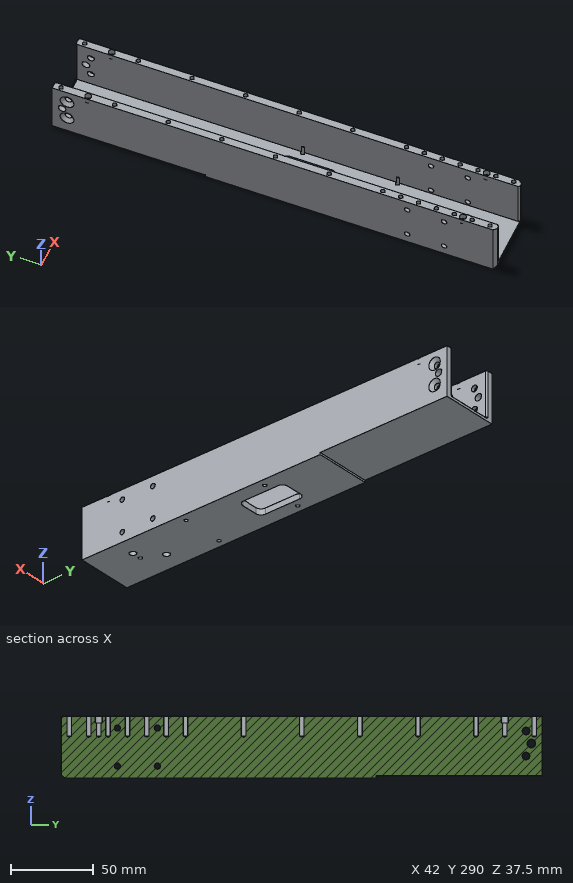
import cadquery as cq
import math

WIDTH = 42.0
LENGTH = 290.0
HEIGHT = 37.5
WALL = 5.0
FLOOR = 4.4

HALF_LENGTH = LENGTH / 2
BACK = HALF_LENGTH
FRONT = -HALF_LENGTH
TOP = HEIGHT / 2
BOTTOM = -HEIGHT / 2
INNER_WIDTH = WIDTH - 2 * WALL
WALL_CENTRE_X = (WIDTH - WALL) / 2
SIDES = (-1, 1)

RELIEF_LENGTH = 100.0
RELIEF_DEPTH = 1.5

OUTER_CHAMFER = 2.0
INNER_CHAMFER = 1.0

TAP_DIAMETER = 2.5
TAP_DEPTH = 12.0
DRILL_TIP_ANGLE = 118
TAP_END_MARGIN = 5.0
TAP_BAYS = 8
FINE_BAYS = 2
FINE_DIVISIONS = 3

COUNTERBORE_DIAMETER = 4.0
COUNTERBORE_DEPTH = 4.0
COUNTERBORE_END_MARGIN = 22.5

SCREW_DIAMETER = 4.4
SCREW_HEAD_DIAMETER = 9.0
SCREW_FROM_BACK = 10.0
SCREW_FROM_TOP = 9.0
SCREW_SPACING = 15.0
PIN_DIAMETER = 5.0
PIN_FROM_BACK = 6.7

SIDE_HOLE_DIAMETER = 3.5
SIDE_HOLE_FROM_FRONT = 34.0
SIDE_HOLE_FROM_TOP = 7.2
SIDE_HOLE_SPACING_Y = 24.0
SIDE_HOLE_SPACING_Z = 23.0

WINDOW_WIDTH = 20.0
WINDOW_LENGTH = 35.0
WINDOW_RADIUS = 4.0
WINDOW_Y = -11.0
EDGE_HOLE_DIAMETER = 2.5
EDGE_HOLE_X = 15.5
EDGE_HOLE_DEPTH = 9.0
EDGE_HOLE_FROM_FRONT = 79.5
EDGE_HOLE_SPACING = 62.0
MOUNT_DIAMETER = 4.5
MOUNT_X = 7.0
MOUNT_FROM_FRONT = 30.5
MOUNT_SPACING_Y = 14.8
PILOT_DIAMETER = 2.5


def box(x_size, y_min, y_max, z_min, z_max):
    """Box centred on X between the given Y and Z limits."""
    return (
        cq.Workplane("XY")
        .box(x_size, y_max - y_min, z_max - z_min, centered=(True, False, False))
        .translate((0, y_min, z_min))
    )


def channel():
    """U-shaped channel with chamfered ends and the relief under its back end."""
    body = box(WIDTH, FRONT, BACK, BOTTOM, TOP)
    front_face = body.faces("<Y")
    body = front_face.edges("<X or >X or <Z").chamfer(OUTER_CHAMFER)
    body = body.cut(box(INNER_WIDTH, FRONT, BACK, BOTTOM + FLOOR, TOP))
    relief = box(WIDTH, BACK - RELIEF_LENGTH, BACK, BOTTOM, BOTTOM + RELIEF_DEPTH)
    return body.cut(relief).cut(wall_bevels()).cut(floor_bevel())


def wall_bevels():
    """Triangular cutters for the inner vertical edges at both ends of the walls."""
    cutters = cq.Workplane("XY", origin=(0, 0, BOTTOM + FLOOR))
    for side in SIDES:
        for end in (-1, 1):
            corner_x = side * INNER_WIDTH / 2
            corner_y = end * HALF_LENGTH
            triangle = [
                (corner_x, corner_y),
                (corner_x + side * INNER_CHAMFER, corner_y),
                (corner_x, corner_y - end * INNER_CHAMFER),
            ]
            cutters = cutters.polyline(triangle).close()
    return cutters.extrude(TOP - BOTTOM - FLOOR)


def floor_bevel():
    """Triangular cutter for the upper edge at the back end of the floor."""
    floor_z = BOTTOM + FLOOR
    triangle = [(BACK, floor_z), (BACK, floor_z - INNER_CHAMFER), (BACK - INNER_CHAMFER, floor_z)]
    return cq.Workplane("YZ").polyline(triangle).close().extrude(INNER_WIDTH / 2, both=True)


def wall_top_points(y_positions):
    """Points on the centrelines of both wall tops."""
    return [(side * WALL_CENTRE_X, y) for side in SIDES for y in y_positions]


def threaded_holes(y_positions):
    """Blind vertical holes with conical drill tips in both wall tops."""
    radius = TAP_DIAMETER / 2
    tip_depth = radius / math.tan(math.radians(DRILL_TIP_ANGLE / 2))
    profile = [(0, 0), (radius, 0), (radius, -TAP_DEPTH), (0, -TAP_DEPTH - tip_depth)]
    drill = cq.Workplane("XZ").polyline(profile).close().revolve(360, (0, 0), (0, 1)).val()
    top_plane = cq.Workplane("XY", origin=(0, 0, TOP)).pushPoints(wall_top_points(y_positions))
    return top_plane.eachpoint(lambda place: drill.moved(place))


def counterbores(y_positions):
    """Flat-bottomed enlargements of the threaded holes at the given places."""
    top_plane = cq.Workplane("XY", origin=(0, 0, TOP)).pushPoints(wall_top_points(y_positions))
    return top_plane.circle(COUNTERBORE_DIAMETER / 2).extrude(-COUNTERBORE_DEPTH)


def tap_positions():
    """Even spacing from the back, with finer spacing near the front."""
    pitch = (LENGTH - 2 * TAP_END_MARGIN) / TAP_BAYS
    fine_pitch = pitch / FINE_DIVISIONS
    first_front = FRONT + TAP_END_MARGIN
    fine = [first_front + i * fine_pitch for i in range(FINE_BAYS * FINE_DIVISIONS)]
    coarse = [first_front + i * pitch for i in range(FINE_BAYS, TAP_BAYS + 1)]
    return fine + coarse


def cross_holes(points, diameter):
    """Holes along X through both walls at (y, z) points."""
    return cq.Workplane("YZ").pushPoints(points).circle(diameter / 2).extrude(WIDTH / 2, both=True)


def screw_points():
    y = BACK - SCREW_FROM_BACK
    upper_z = TOP - SCREW_FROM_TOP
    return [(y, upper_z), (y, upper_z - SCREW_SPACING)]


def countersinks():
    """Conical 90-degree screw seats on the outside of both walls."""
    head_radius = SCREW_HEAD_DIAMETER / 2
    hole_radius = SCREW_DIAMETER / 2
    depth = head_radius - hole_radius
    cones = cq.Workplane("XY")
    for side in SIDES:
        for y, z in screw_points():
            start = cq.Vector(side * WIDTH / 2, y, z)
            inward = cq.Vector(-side, 0, 0)
            cones = cones.add(cq.Solid.makeCone(head_radius, hole_radius, depth, start, inward))
    return cones.combine()


def side_hole_points():
    first_y = FRONT + SIDE_HOLE_FROM_FRONT
    upper_z = TOP - SIDE_HOLE_FROM_TOP
    return [
        (y, z)
        for y in (first_y, first_y + SIDE_HOLE_SPACING_Y)
        for z in (upper_z, upper_z - SIDE_HOLE_SPACING_Z)
    ]


def floor_holes(points, diameter, depth=FLOOR):
    """Vertical holes from below, by default just through the floor."""
    return cq.Workplane("XY", origin=(0, 0, BOTTOM)).pushPoints(points).circle(diameter / 2).extrude(depth)


def window():
    """Rounded rectangular opening in the floor."""
    return (
        box(WINDOW_WIDTH, WINDOW_Y - WINDOW_LENGTH / 2, WINDOW_Y + WINDOW_LENGTH / 2, BOTTOM, BOTTOM + FLOOR)
        .edges("|Z")
        .fillet(WINDOW_RADIUS)
    )


result = channel()

counterbore_y = HALF_LENGTH - COUNTERBORE_END_MARGIN
counterbored = [-counterbore_y, counterbore_y]
result = result.cut(threaded_holes(tap_positions() + counterbored))
result = result.cut(counterbores(counterbored))

pin_z = TOP - SCREW_FROM_TOP - SCREW_SPACING / 2
result = result.cut(cross_holes(screw_points(), SCREW_DIAMETER))
result = result.cut(countersinks())
result = result.cut(cross_holes([(BACK - PIN_FROM_BACK, pin_z)], PIN_DIAMETER))
result = result.cut(cross_holes(side_hole_points(), SIDE_HOLE_DIAMETER))

mount_y = FRONT + MOUNT_FROM_FRONT
edge_hole_y = FRONT + EDGE_HOLE_FROM_FRONT
edge_hole_points = [
    (side * EDGE_HOLE_X, y)
    for side in SIDES
    for y in (edge_hole_y, edge_hole_y + EDGE_HOLE_SPACING)
]
mount_points = [(MOUNT_X, mount_y), (-MOUNT_X, mount_y + MOUNT_SPACING_Y)]
result = result.cut(window())
result = result.cut(floor_holes(edge_hole_points, EDGE_HOLE_DIAMETER, EDGE_HOLE_DEPTH))
result = result.cut(floor_holes(mount_points, MOUNT_DIAMETER))
result = result.cut(floor_holes([(0, mount_y)], PILOT_DIAMETER))